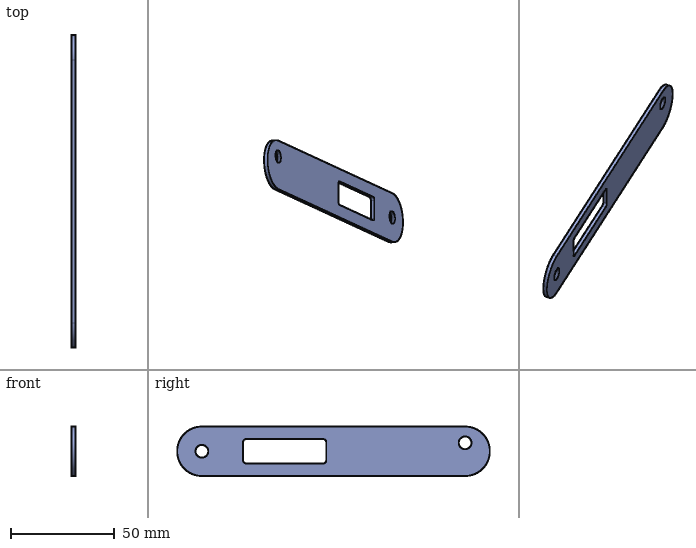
import cadquery as cq

length = 151.0
height = 24.0
thickness = 2.0

hole_diameter = 6.0
hole_offset_y = (length - height) / 2
raised_hole_z = 4.1

window_length = 40.0
window_height = 11.6
window_corner_radius = 1.4
window_center_y = -23.5
window_center_z = 0.0


def make_plate():
    return cq.Workplane("YZ").slot2D(length, height).extrude(thickness / 2, both=True)


def make_screw_holes():
    centers = [(-hole_offset_y, 0), (hole_offset_y, raised_hole_z)]
    return (
        cq.Workplane("YZ")
        .pushPoints(centers)
        .circle(hole_diameter / 2)
        .extrude(thickness, both=True)
    )


def make_window():
    return (
        cq.Workplane("YZ")
        .center(window_center_y, window_center_z)
        .rect(window_length, window_height)
        .extrude(thickness, both=True)
        .edges("|X")
        .fillet(window_corner_radius)
    )


result = make_plate().cut(make_screw_holes()).cut(make_window())